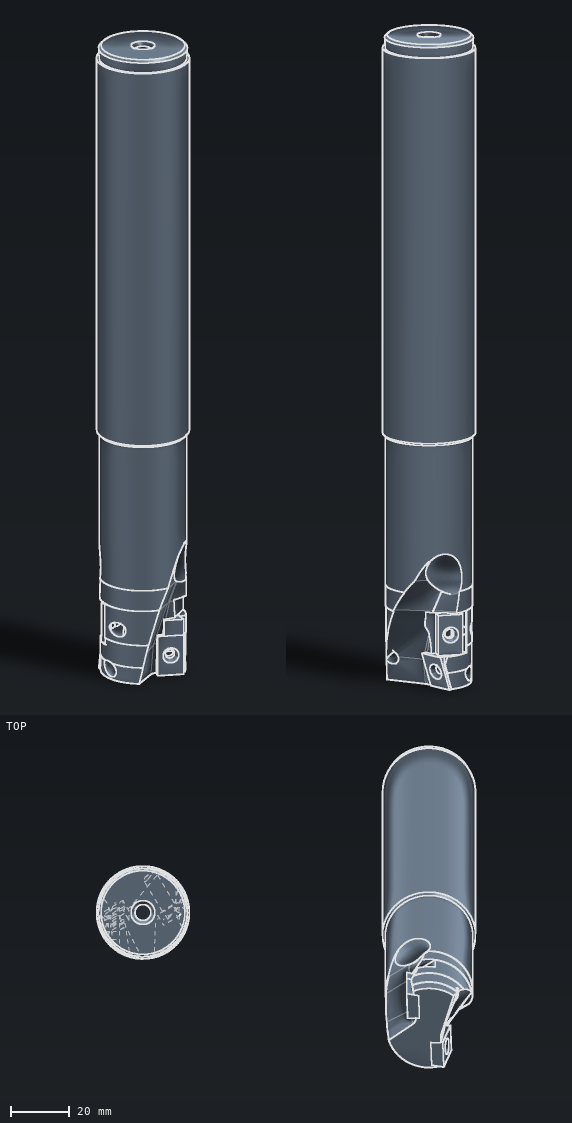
import cadquery as cq
import math

TOTAL_LENGTH = 227.3

SHANK_RADIUS = 16.0
SHANK_BOTTOM = 87.3
SHANK_CHAMFER = 1.0
COLLAR_RADIUS = 15.2
COLLAR_ROOT_RADIUS = 15.0
COLLAR_LENGTH = 4.5
COLLAR_CHAMFER = 1.0

NECK_RADIUS = 15.0
HEAD_RADIUS_STEP = 0.11
HEAD_STEP_HEIGHTS = [34.0, 26.5, 14.0, 6.0]

BORE_RADIUS = 2.7
BORE_MOUTH_RADIUS = 4.0
BORE_DEPTH = 22.7

LEFT_FLUTE_SECTIONS = [
    (-2.3, -4.0, 1.8, 49.0, 216.0),
    (9.0, -5.2, 2.7, 55.0, 208.0),
    (27.3, -11.0, 1.1, 68.0, 252.0),
    (38.6, -12.3, -3.5, 92.0, 265.0),
    (45.5, -14.3, -3.5, 92.0, 266.0),
]
RIGHT_FLUTE_SECTIONS = [
    (-2.3, -4.0, 2.3, 86.0, 208.0),
    (11.4, -5.2, 2.7, 95.0, 208.0),
    (26.5, -10.0, 2.3, 90.0, 246.0),
    (34.0, -12.3, 0.0, 90.0, 262.0),
    (45.5, -14.3, -3.5, 92.0, 266.0),
]
FLUTE_REACH = 27.3
FLUTE_ROOT_RADIUS = 2.7
FLUTE_END_CENTRE = (-23.9, -2.7, 38.6)
FLUTE_END_RADIUS = 13.0

CORNER_X = -14.8
CORNER_Y = -0.5
RAKE_ANGLE = 31.0
INSERT_WIDTH = 9.0
INSERT_THICKNESS = 4.0
INSERT_CLEARANCE = 1.0
NO_LEAN = 0.0
LOWER_LEFT_BOTTOM = 0.0
LOWER_LEFT_HEIGHT = 11.5
LOWER_LEFT_LEAN = 3.2
LOWER_RIGHT_BOTTOM = 0.0
LOWER_RIGHT_HEIGHT = 14.3
UPPER_RIGHT_BOTTOM = LOWER_RIGHT_BOTTOM + LOWER_RIGHT_HEIGHT
UPPER_RIGHT_WIDTH = 6.8
UPPER_RIGHT_HEIGHT = 5.7

FLANK_POCKET_FLOOR = -8.2
FLANK_POCKET_BACK = -11.0
FLANK_POCKET_FRONT = 3.5
FLANK_POCKET_BOTTOM = 11.5
FLANK_POCKET_TOP = 26.5
FLANK_INSERT_THICKNESS = 3.6
FLANK_INSERT_BACK = -9.0
FLANK_INSERT_WIDTH = 8.6
FLANK_INSERT_HEIGHT = 14.0

RIGHT_RELIEF_FLOOR = 11.1

SEAT_RADIUS = 2.7
SEAT_DEPTH = 1.8
SCREW_RADIUS = 1.5
EXIT_RADIUS = 2.5
LOWER_LEFT_EXIT = (-7.0, -14.8, 3.0)
FLANK_HOLE_START = (-8.2, -6.0, 19.0)
FLANK_HOLE_EXIT = (-3.2, -15.5, 18.9)
LOWER_RIGHT_EXIT = (1.8, 13.2, 8.9)

HALF_TURN = 180.0
QUARTER_TURN = 90.0


def half_turn(shape):
    """Carry a shape from the -X side to the +X side."""
    return shape.rotate((0, 0, 0), (0, 0, 1), HALF_TURN)


def step_from(point, angle, distance):
    """Point reached from a plan point along an angle in degrees."""
    direction = math.radians(angle)
    return (
        point[0] + distance * math.cos(direction),
        point[1] + distance * math.sin(direction),
    )


def turned_blank():
    collar_bottom = TOTAL_LENGTH - COLLAR_LENGTH
    profile = [
        (0, TOTAL_LENGTH),
        (COLLAR_RADIUS - COLLAR_CHAMFER, TOTAL_LENGTH),
        (COLLAR_RADIUS, TOTAL_LENGTH - COLLAR_CHAMFER),
        (COLLAR_ROOT_RADIUS, collar_bottom),
        (SHANK_RADIUS, collar_bottom),
        (SHANK_RADIUS, SHANK_BOTTOM),
        (NECK_RADIUS, SHANK_BOTTOM - SHANK_CHAMFER),
    ]
    radius = NECK_RADIUS
    for height in HEAD_STEP_HEIGHTS:
        profile.append((radius, height))
        radius -= HEAD_RADIUS_STEP
        profile.append((radius, height))
    profile += [(radius, 0), (0, 0)]
    return cq.Workplane("XZ").polyline(profile).close().revolve(360, (0, 0), (0, 1))


def coolant_bore():
    mouth_depth = BORE_MOUTH_RADIUS - BORE_RADIUS
    profile = [
        (0, TOTAL_LENGTH),
        (BORE_MOUTH_RADIUS, TOTAL_LENGTH),
        (BORE_RADIUS, TOTAL_LENGTH - mouth_depth),
        (BORE_RADIUS, TOTAL_LENGTH - BORE_DEPTH),
        (0, TOTAL_LENGTH - BORE_DEPTH),
    ]
    return cq.Workplane("XZ").polyline(profile).close().revolve(360, (0, 0), (0, 1))


def flute_section(height, corner_x, corner_y, floor_angle, wall_angle):
    """Flute outline at one height: floor and wall meeting in a rounded root."""
    corner = (corner_x, corner_y)
    half_opening = math.radians(wall_angle - floor_angle) / 2
    setback = FLUTE_ROOT_RADIUS / math.tan(half_opening)
    root_sagitta = FLUTE_ROOT_RADIUS / math.sin(half_opening) - FLUTE_ROOT_RADIUS
    floor_start = step_from(corner, floor_angle, setback)
    floor_end = step_from(corner, floor_angle, FLUTE_REACH)
    wall_start = step_from(corner, wall_angle, setback)
    wall_end = step_from(corner, wall_angle, FLUTE_REACH)
    root_middle = step_from(corner, (floor_angle + wall_angle) / 2, root_sagitta)
    outer_corner = step_from(corner, (floor_angle + wall_angle) / 2, FLUTE_REACH)
    outline = (
        cq.Workplane("XY", origin=(0, 0, height))
        .moveTo(*floor_end)
        .lineTo(*outer_corner)
        .lineTo(*wall_end)
        .lineTo(*wall_start)
        .threePointArc(root_middle, floor_start)
        .close()
    )
    return outline.val()


def flute(section_table):
    sections = [flute_section(*section) for section in section_table]
    groove = cq.Workplane(cq.Solid.makeLoft(sections, True))
    rounded_end = cq.Workplane("XY").sphere(FLUTE_END_RADIUS).translate(FLUTE_END_CENTRE)
    return groove.union(rounded_end)


def rake_plane(width, bottom, height, lean):
    """Plane at the middle of a rake face; its normal points into the flute."""
    centre = step_from((CORNER_X, CORNER_Y - lean / 2), RAKE_ANGLE, width / 2)
    inward = cq.Vector(*step_from((0, 0), RAKE_ANGLE, 1), 0)
    upward = cq.Vector(0, lean, height)
    return cq.Plane(
        origin=(*centre, bottom + height / 2),
        xDir=-inward,
        normal=upward.cross(inward),
    )


def insert_outline(width):
    """Plan outline of an insert, its outer flank leaning inwards for clearance."""
    rake_corner = (CORNER_X, CORNER_Y)
    inner_corner = step_from(rake_corner, RAKE_ANGLE, width)
    back_angle = RAKE_ANGLE - QUARTER_TURN
    inner_back = step_from(inner_corner, back_angle, INSERT_THICKNESS)
    flank_back = step_from(inner_back, RAKE_ANGLE, INSERT_CLEARANCE - width)
    return [rake_corner, inner_corner, inner_back, flank_back]


def insert_blank(width, bottom, height, lean):
    """Insert block whose foot is set back from its top by the lean."""
    top = insert_outline(width)
    foot = [(x, y - lean) for x, y in top]
    return (
        cq.Workplane("XY", origin=(0, 0, bottom))
        .polyline(foot)
        .close()
        .workplane(offset=height)
        .polyline(top)
        .close()
        .loft(ruled=True)
    )


def screw_seat(plane, thickness):
    """Countersunk screw hole through an insert, centred on its face."""
    hole = cq.Workplane(plane).circle(SCREW_RADIUS).extrude(-thickness)
    seat = (
        cq.Workplane(plane)
        .circle(SEAT_RADIUS)
        .workplane(offset=-SEAT_DEPTH)
        .circle(SCREW_RADIUS)
        .loft()
    )
    return hole.union(seat)


def screwed_insert(width, bottom, height, lean):
    seat = screw_seat(rake_plane(width, bottom, height, lean), INSERT_THICKNESS)
    return insert_blank(width, bottom, height, lean).cut(seat)


def flank_block():
    block = cq.Workplane("XY").box(
        FLANK_INSERT_THICKNESS, FLANK_INSERT_WIDTH, FLANK_INSERT_HEIGHT, centered=False
    )
    outer_face = FLANK_POCKET_FLOOR - FLANK_INSERT_THICKNESS
    return block.translate((outer_face, FLANK_INSERT_BACK, FLANK_POCKET_BOTTOM))


def flank_insert():
    face = cq.Plane(
        origin=(
            FLANK_POCKET_FLOOR - FLANK_INSERT_THICKNESS,
            FLANK_INSERT_BACK + FLANK_INSERT_WIDTH / 2,
            FLANK_POCKET_BOTTOM + FLANK_INSERT_HEIGHT / 2,
        ),
        xDir=(0, 1, 0),
        normal=(-1, 0, 0),
    )
    return flank_block().cut(screw_seat(face, FLANK_INSERT_THICKNESS))


def flank_pocket():
    return cq.Workplane("XY").box(
        SHANK_RADIUS,
        FLANK_POCKET_FRONT - FLANK_POCKET_BACK,
        FLANK_POCKET_TOP - FLANK_POCKET_BOTTOM,
        centered=False,
    ).translate((FLANK_POCKET_FLOOR - SHANK_RADIUS, FLANK_POCKET_BACK, FLANK_POCKET_BOTTOM))


def right_relief():
    bottom = UPPER_RIGHT_BOTTOM + UPPER_RIGHT_HEIGHT
    return cq.Workplane("XY").box(
        SHANK_RADIUS, 2 * SHANK_RADIUS, FLANK_POCKET_TOP - bottom, centered=(False, True, False)
    ).translate((RIGHT_RELIEF_FLOOR, 0, bottom))


def hole_between(start, end):
    start_point = cq.Vector(*start)
    axis = cq.Vector(*end) - start_point
    return cq.Workplane(cq.Solid.makeCylinder(EXIT_RADIUS, axis.Length, start_point, axis))


def seat_back_centre(width, bottom, height, lean):
    """Middle of an insert's seating face on the -X side."""
    return rake_plane(width, bottom, height, lean).toWorldCoords((0, 0, -INSERT_THICKNESS)).toTuple()


lower_left = (INSERT_WIDTH, LOWER_LEFT_BOTTOM, LOWER_LEFT_HEIGHT, LOWER_LEFT_LEAN)
lower_right = (INSERT_WIDTH, LOWER_RIGHT_BOTTOM, LOWER_RIGHT_HEIGHT, NO_LEAN)
upper_right = (UPPER_RIGHT_WIDTH, UPPER_RIGHT_BOTTOM, UPPER_RIGHT_HEIGHT, NO_LEAN)

body = turned_blank().cut(coolant_bore())
for cutter in [
    flute(LEFT_FLUTE_SECTIONS),
    half_turn(flute(RIGHT_FLUTE_SECTIONS)),
    flank_pocket(),
    right_relief(),
    insert_blank(*lower_left),
    half_turn(insert_blank(*lower_right)),
    half_turn(insert_blank(*upper_right)),
]:
    body = body.cut(cutter)

right_seat_x, right_seat_y, right_seat_z = seat_back_centre(*lower_right)
for start, end in [
    (seat_back_centre(*lower_left), LOWER_LEFT_EXIT),
    (FLANK_HOLE_START, FLANK_HOLE_EXIT),
    ((-right_seat_x, -right_seat_y, right_seat_z), LOWER_RIGHT_EXIT),
]:
    body = body.cut(hole_between(start, end))

lower_left_insert = screwed_insert(*lower_left)
lower_right_insert = half_turn(screwed_insert(*lower_right))
upper_right_insert = half_turn(insert_blank(*upper_right))
upper_left_insert = flank_insert()

result = cq.Compound.makeCompound(
    [
        body.val(),
        lower_left_insert.val(),
        upper_left_insert.val(),
        lower_right_insert.val(),
        upper_right_insert.val(),
    ]
)